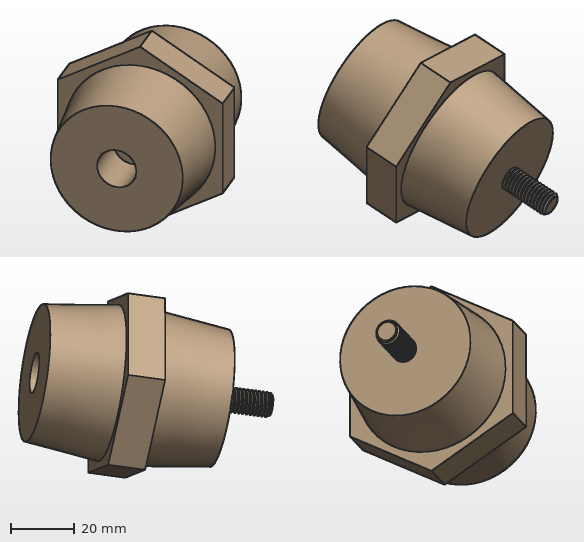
import cadquery as cq
import math

total_length = 77.0

stud_length = 17.0
housing_length = total_length - stud_length
collar_length = 12.0
collar_across_flats = 55.0
collar_across_corners = collar_across_flats / math.cos(math.pi / 6)
neck_end_radius = 22.0
neck_collar_radius = 25.0
bore_diameter = 13.0
bore_depth = 17.0

thread_diameter = 8.0
thread_turns = 13.6
thread_pitch = stud_length / thread_turns
thread_height = 0.61 * thread_pitch
crest_width = thread_pitch / 8
root_width = thread_pitch - crest_width
first_crest = 0.28
tip_chamfer = 0.85

crest_radius = thread_diameter / 2
core_radius = crest_radius - thread_height
half_housing = housing_length / 2
half_collar = collar_length / 2


def make_neck():
    """Solid tapered neck on the +Y side, a cone frustum that narrows away from the collar."""
    return (
        cq.Workplane("YZ")
        .polyline([
            (0, 0),
            (0, neck_collar_radius),
            (half_collar, neck_collar_radius),
            (half_housing, neck_end_radius),
            (half_housing, 0),
        ])
        .close()
        .revolve(360, (0, 0, 0), (1, 0, 0))
    )


def make_housing():
    """Collar with corners on +Z and -Z, two mirrored necks and a blind bore in the -Y face."""
    collar = (
        cq.Workplane("XZ")
        .transformed(rotate=(0, 0, 90))
        .polygon(6, collar_across_corners)
        .extrude(half_collar, both=True)
    )
    neck = make_neck()
    bore = (
        cq.Workplane("XZ", origin=(0, bore_depth - half_housing, 0))
        .circle(bore_diameter / 2)
        .extrude(bore_depth)
    )
    return collar.union(neck).union(neck.mirror("XZ")).cut(bore)


def make_thread_ridge():
    """Helical ridge around Z, running past both ends of the stud and rooted inside its core."""
    turns_past_end = 2
    flank_slope = (root_width - crest_width) / 2 / thread_height
    root_overlap = 0.04
    half_root = root_width / 2 + root_overlap * flank_slope
    half_crest = crest_width / 2
    inner_radius = core_radius - root_overlap
    start_z = first_crest - turns_past_end * thread_pitch
    ridge_length = stud_length + 2 * turns_past_end * thread_pitch
    path = cq.Wire.makeHelix(thread_pitch, ridge_length, core_radius, cq.Vector(0, 0, start_z))
    return (
        cq.Workplane("XZ")
        .polyline([
            (inner_radius, start_z - half_root),
            (crest_radius, start_z - half_crest),
            (crest_radius, start_z + half_crest),
            (inner_radius, start_z + half_root),
        ])
        .close()
        .sweep(cq.Workplane(path), isFrenet=True)
    )


def make_stud():
    """Threaded stud with a chamfered tip, standing on the +Y face of the housing."""
    blank_margin = 0.8
    blank = (
        cq.Workplane("XY")
        .circle(crest_radius + blank_margin)
        .extrude(stud_length)
        .faces(">Z")
        .chamfer(tip_chamfer + blank_margin)
    )
    core = cq.Workplane("XY").circle(core_radius).extrude(stud_length).intersect(blank)
    stud = core.union(make_thread_ridge().intersect(blank))
    return stud.rotate((0, 0, 0), (1, 0, 0), -90).translate((0, half_housing, 0))


housing = make_housing()
stud = make_stud()
result = cq.Compound.makeCompound([housing.solids().val(), stud.solids().val()])